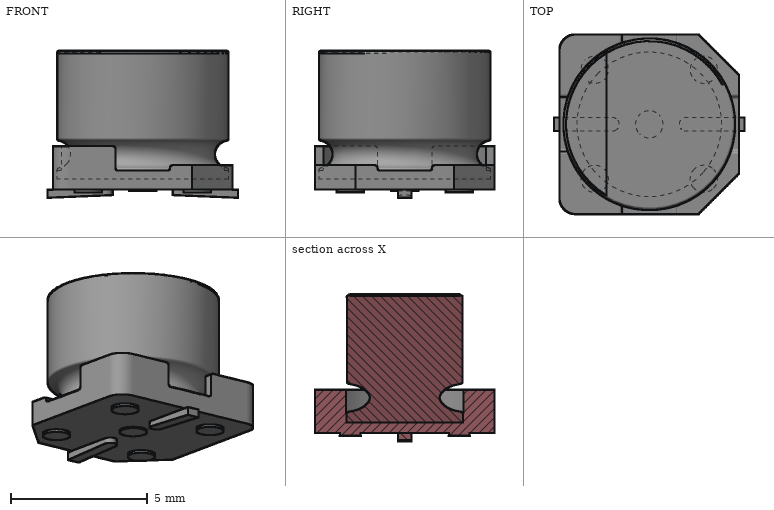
import cadquery as cq
import math


base_size = 6.6
base_corner_radius = 0.6
base_chamfer = 1.5
high_corner_top = 1.6
low_corner_top = 0.9
channel_floor = 0.7
channel_half_width = 1.0
channel_fillet = 0.1
socket_floor = 0.4
foot_diameter = 1.0
foot_height = 0.1
foot_offset = 2.0
center_pad_height = 0.05

can_radius = 6.3 / 2
can_top = 5.1
can_edge_radius = 0.1
groove_center_z = 1.3
groove_radius = 0.5

mark_radius = can_radius - can_edge_radius
mark_chord_x = -can_radius / 2
mark_depth = 0.05

lead_tip_x = 3.5
lead_inner_x = 1.1
lead_width = 0.5
lead_tip_thickness = 0.3
lead_inner_thickness = 0.2

base_half = base_size / 2
shortest_wall = 1e-6


def channel_half(plane, side, top, length):
    """Half of an open channel: filleted floor, upright wall, rounded-over top edge.

    The half lies on the given side (+1 or -1) of the channel's middle plane and
    runs from the part's center along the normal of the sketch plane.
    """
    r = channel_fillet
    diagonal = r * math.sqrt(0.5)
    floor_end = channel_half_width - r
    wall_start = channel_floor + r
    wall_end = top - r
    rim = channel_half_width + r

    profile = (
        cq.Workplane(plane)
        .moveTo(0, channel_floor)
        .lineTo(side * floor_end, channel_floor)
        .threePointArc(
            (side * (floor_end + diagonal), wall_start - diagonal),
            (side * channel_half_width, wall_start),
        )
    )
    if wall_end - wall_start > shortest_wall:
        profile = profile.lineTo(side * channel_half_width, wall_end)
    return (
        profile.threePointArc(
            (side * (rim - diagonal), wall_end + diagonal),
            (side * rim, top),
        )
        .lineTo(0, top)
        .close()
        .extrude(length)
    )


def make_base():
    body = (
        cq.Workplane("XY")
        .rect(base_size, base_size)
        .extrude(high_corner_top)
        .edges("|Z and <X")
        .fillet(base_corner_radius)
        .edges("|Z and >X")
        .chamfer(base_chamfer)
    )

    low_half_cut = (
        cq.Workplane("XY", origin=(0, 0, low_corner_top))
        .rect(base_half, base_size, centered=(False, True))
        .extrude(high_corner_top - low_corner_top)
    )
    body = body.cut(low_half_cut)

    socket = (
        cq.Workplane("XY", origin=(0, 0, socket_floor))
        .circle(can_radius)
        .extrude(high_corner_top - socket_floor)
    )
    body = body.cut(socket)

    for x_side, top in ((-1, high_corner_top), (1, low_corner_top)):
        for y_side in (-1, 1):
            body = body.cut(channel_half("XZ", x_side, top, -y_side * base_half))
            body = body.cut(channel_half("YZ", y_side, top, x_side * base_half))

    feet = (
        cq.Workplane("XY")
        .rect(2 * foot_offset, 2 * foot_offset, forConstruction=True)
        .vertices()
        .circle(foot_diameter / 2)
        .extrude(-foot_height)
    )
    center_pad = cq.Workplane("XY").circle(foot_diameter / 2).extrude(-center_pad_height)
    return body.union(feet).union(center_pad)


def make_mark():
    chord_half = math.sqrt(mark_radius**2 - mark_chord_x**2)
    return (
        cq.Workplane("XY", origin=(0, 0, can_top - mark_depth))
        .moveTo(mark_chord_x, chord_half)
        .threePointArc((-mark_radius, 0), (mark_chord_x, -chord_half))
        .close()
        .extrude(mark_depth)
    )


def make_can(mark):
    r = can_edge_radius
    diagonal = r * math.sqrt(0.5)
    lip_center_radius = can_radius - r

    lip_rise = math.sqrt((groove_radius + r) ** 2 - r**2)
    tangent_share = groove_radius / (groove_radius + r)
    tangent_radius = can_radius - r * tangent_share
    tangent_rise = lip_rise * tangent_share

    lip_half_angle = math.atan2(lip_rise, r) / 2
    lip_mid_radius = lip_center_radius + r * math.cos(lip_half_angle)
    lip_mid_rise = lip_rise - r * math.sin(lip_half_angle)

    can = (
        cq.Workplane("XZ")
        .moveTo(0, socket_floor)
        .lineTo(can_radius, socket_floor)
        .lineTo(can_radius, groove_center_z - lip_rise)
        .threePointArc(
            (lip_mid_radius, groove_center_z - lip_mid_rise),
            (tangent_radius, groove_center_z - tangent_rise),
        )
        .threePointArc(
            (can_radius - groove_radius, groove_center_z),
            (tangent_radius, groove_center_z + tangent_rise),
        )
        .threePointArc(
            (lip_mid_radius, groove_center_z + lip_mid_rise),
            (can_radius, groove_center_z + lip_rise),
        )
        .lineTo(can_radius, can_top - r)
        .threePointArc(
            (lip_center_radius + diagonal, can_top - r + diagonal),
            (lip_center_radius, can_top),
        )
        .lineTo(0, can_top)
        .close()
        .revolve(360, (0, 0), (0, 1))
    )
    return can.cut(mark)


def make_lead(side):
    """Lead with a full-round inner end, getting thicker toward its outer tip."""
    round_radius = lead_width / 2
    round_center_x = lead_inner_x + round_radius
    outline = (
        cq.Workplane("XY")
        .moveTo(side * lead_tip_x, round_radius)
        .lineTo(side * round_center_x, round_radius)
        .threePointArc((side * lead_inner_x, 0), (side * round_center_x, -round_radius))
        .lineTo(side * lead_tip_x, -round_radius)
        .close()
        .extrude(-lead_tip_thickness)
    )
    wedge = (
        cq.Workplane("XZ")
        .moveTo(side * lead_inner_x, 0)
        .lineTo(side * lead_tip_x, 0)
        .lineTo(side * lead_tip_x, -lead_tip_thickness)
        .lineTo(side * lead_inner_x, -lead_inner_thickness)
        .close()
        .extrude(round_radius, both=True)
    )
    return outline.intersect(wedge)


base = make_base()
mark = make_mark()
can = make_can(mark)
leads = [make_lead(side) for side in (-1, 1)]

result = cq.Compound.makeCompound(
    [body.solids().val() for body in (base, can, mark, *leads)]
)